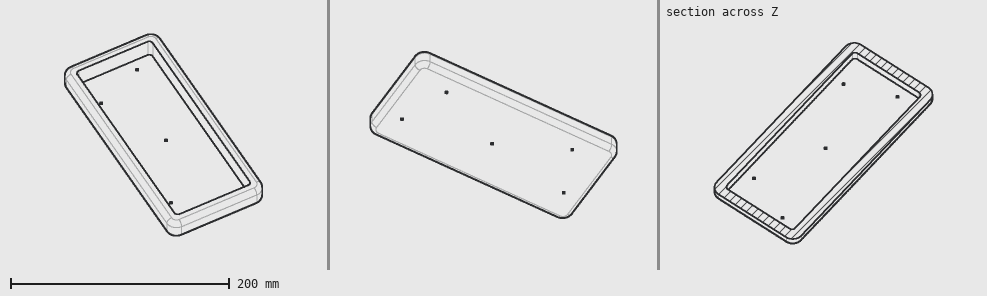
import cadquery as cq

length = 212.5
width = 98.2
height = 20.6
corner_radius = 10.0
edge_radius = 5.0

wall = 10.0
floor_thickness = 1.2
cavity_corner_radius = 3.4

hole_diameter = 2.2
rear_hole_spacing = 171.5
rear_hole_y = 19.2
front_hole_spacing = 133.4
front_hole_y = -28.6
middle_hole_y = 2.5


def rounded_block(size_x, size_y, size_z, radius):
    """Block standing on Z = 0, centred in X and Y, with round vertical corners."""
    block = cq.Workplane("XY").box(size_x, size_y, size_z, centered=(True, True, False))
    return block.edges("|Z").fillet(radius)


def outer_body():
    """Solid tray body with its top and bottom rims rounded over."""
    body = rounded_block(length, width, height, corner_radius)
    return body.faces("<Z or >Z").edges().fillet(edge_radius)


def cavity():
    """Space inside the walls, from the floor up to the rim."""
    cavity_length = length - 2 * wall
    cavity_width = width - 2 * wall
    depth = height - floor_thickness
    space = rounded_block(cavity_length, cavity_width, depth, cavity_corner_radius)
    return space.translate((0, 0, floor_thickness))


def floor_holes():
    """Pins for a rear pair, a front pair and one middle hole."""
    positions = [(0, middle_hole_y)]
    for side in (-1, 1):
        positions.append((side * rear_hole_spacing / 2, rear_hole_y))
        positions.append((side * front_hole_spacing / 2, front_hole_y))
    centres = cq.Workplane("XY").pushPoints(positions)
    return centres.circle(hole_diameter / 2).extrude(floor_thickness)


result = outer_body().cut(cavity()).cut(floor_holes())